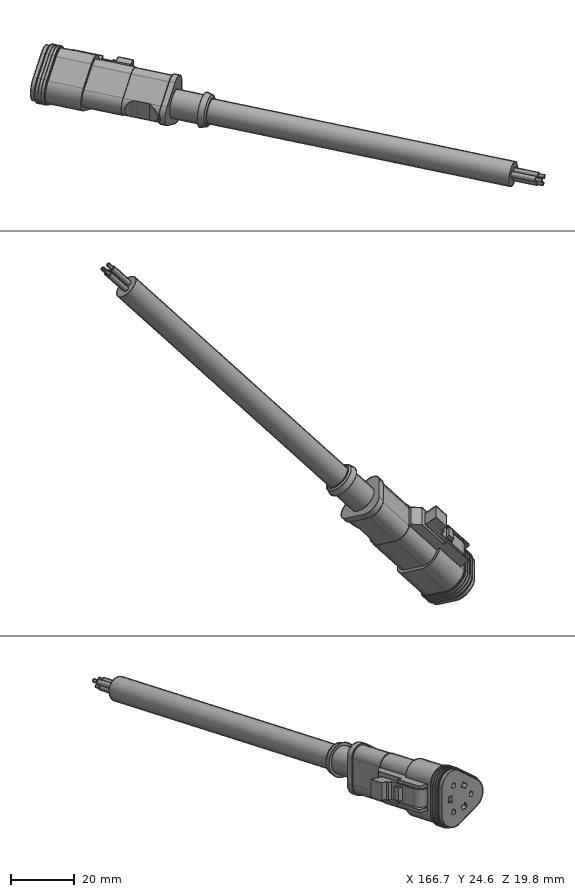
import cadquery as cq
import math


overall_length = 166.7

corner_distance = 5.0
shell_radius = 5.0
shell_end = 16.7
body_radius = 3.8
body_end = 29.7
grip_radius = 3.7
grip_end = 42.3
flange_radius = 4.2
flange_end = 44.3

seal_start = 1.3
seal_end = 5.0
seal_base_height = 0.3
seal_ridge_height = 0.58
seal_ridge_width = 1.0
seal_ridge_inset = 0.3

cavity_depth = 5.0
socket_distance = 5.0
socket_diameter = 1.7
slot_distance = 4.0
slot_thickness = 1.5
slot_width = 2.0

recess_floor = corner_distance + grip_radius / 2
recess_floor_start = 34.3
recess_floor_end = 38.3
recess_arc_radius = 4.2
recess_ramp_length = 8.0
recess_cut_width = 16.7

rail_start = 6.7
rail_width = 8.7
rail_top = 11.0
rail_low_top = 9.5
rail_slope_start = 27.2
rail_slope_foot = 7.0
channel_width = 6.7
tongue_width = 5.8
tongue_top = 10.8
nose_radius = 2.7
tab_start = 20.7
tab_end = 25.7
tab_top = 14.0
tab_step = 1.0
tab_step_top = 12.0
bump_start = 14.5
bump_end = 17.2
bump_slope = 0.7
bump_width = 4.3

neck_radius = 4.7
neck_end = 53.8
collar_radius = 5.7
collar_rim_radius = 5.2
collar_rim = 55.8
collar_end_radius = 4.5
collar_end = 56.3
cable_radius = 4.0
cable_end = 156.7
wire_radius = 0.92
wire_end = 164.7
wire_distance = 1.3
conductor_radius = 0.58


def around_axis(distance, first_angle):
    """Three (y, z) points spaced evenly around the X axis, angles measured from +Y."""
    angles = [math.radians(first_angle + 120 * i) for i in range(3)]
    return [(distance * math.cos(a), distance * math.sin(a)) for a in angles]


def rod(y, z, radius, start, end):
    return cq.Workplane("YZ", origin=(start, 0, 0)).center(y, z).circle(radius).extrude(end - start)


def triangle_section(radius, start, end):
    """Triangular prism along X, a corner towards -Y, rounded to the given radius."""
    corners = around_axis(corner_distance, 60)
    outline = cq.Workplane("YZ", origin=(start, 0, 0)).polyline(corners).close().offset2D(radius)
    return outline.extrude(end - start)


def plate(profile, width):
    """An XY profile extruded symmetrically about Z = 0."""
    return cq.Workplane("XY").polyline(profile).close().extrude(width / 2, both=True)


def make_housing():
    housing = triangle_section(shell_radius, 0, shell_end)
    housing = housing.union(triangle_section(body_radius, shell_end, body_end))
    housing = housing.union(triangle_section(grip_radius, body_end, grip_end))
    return housing.union(triangle_section(flange_radius, grip_end, flange_end))


def make_seal():
    seal = triangle_section(shell_radius + seal_base_height, seal_start, seal_end)
    first_ridge = seal_start + seal_ridge_inset
    last_ridge = seal_end - seal_ridge_inset - seal_ridge_width
    for start in (first_ridge, last_ridge):
        ridge = triangle_section(shell_radius + seal_ridge_height, start, start + seal_ridge_width)
        seal = seal.union(ridge)
    return seal


def make_recess():
    """Hollow with a quarter-round front wall, a flat floor and a sloping rear wall."""
    recess_mouth = recess_floor + recess_arc_radius
    arc_middle = recess_arc_radius * math.sqrt(0.5)
    return (
        cq.Workplane("XY")
        .moveTo(recess_floor_start - recess_arc_radius, -recess_mouth)
        .threePointArc(
            (recess_floor_start - arc_middle, -recess_mouth + arc_middle),
            (recess_floor_start, -recess_floor),
        )
        .lineTo(recess_floor_end, -recess_floor)
        .lineTo(recess_floor_end + recess_ramp_length, -recess_mouth)
        .close()
        .extrude(recess_cut_width / 2, both=True)
    )


def make_cavities():
    face = cq.Workplane("YZ")
    socket_centres = around_axis(socket_distance, 60)
    cavities = face.pushPoints(socket_centres).circle(socket_diameter / 2).extrude(cavity_depth)
    slot = face.center(slot_distance, 0).rect(slot_thickness, slot_width).extrude(cavity_depth)
    for angle in (0, 120, 240):
        cavities = cavities.union(slot.rotate((0, 0, 0), (1, 0, 0), angle))
    return cavities


def make_latch():
    latch_foot = corner_distance / 2
    rails = plate(
        [
            (rail_start, latch_foot),
            (rail_start, rail_top),
            (shell_end, rail_top),
            (shell_end, rail_low_top),
            (rail_slope_start, rail_low_top),
            (body_end, rail_slope_foot),
            (body_end, latch_foot),
        ],
        rail_width,
    )
    channel_floor = latch_foot + shell_radius
    channel = plate(
        [
            (rail_start, channel_floor),
            (rail_start, rail_top),
            (shell_end, rail_top),
            (shell_end, channel_floor),
        ],
        channel_width,
    )
    nose_middle = nose_radius * math.sqrt(0.5)
    tongue = (
        cq.Workplane("XY")
        .moveTo(rail_start, latch_foot)
        .lineTo(rail_start, tongue_top - nose_radius)
        .threePointArc(
            (rail_start + nose_radius - nose_middle, tongue_top - nose_radius + nose_middle),
            (rail_start + nose_radius, tongue_top),
        )
        .lineTo(tab_start - tab_step, tongue_top)
        .lineTo(tab_start - tab_step, tab_step_top)
        .lineTo(tab_start, tab_step_top)
        .lineTo(tab_start, tab_top)
        .lineTo(tab_end, tab_top)
        .lineTo(tab_end, latch_foot)
        .close()
        .extrude(tongue_width / 2, both=True)
    )
    bump = plate(
        [
            (bump_start, latch_foot),
            (bump_start, tongue_top),
            (bump_start + bump_slope, tab_step_top),
            (bump_end, tab_step_top),
            (bump_end, latch_foot),
        ],
        bump_width,
    )
    return rails.cut(channel).union(tongue).union(bump)


def make_strain_relief_and_cable():
    profile = [
        (grip_end, 0),
        (grip_end, neck_radius),
        (neck_end, neck_radius),
        (neck_end, collar_radius),
        (collar_rim, collar_rim_radius),
        (collar_end, collar_end_radius),
        (collar_end, cable_radius),
        (cable_end, cable_radius),
        (cable_end, 0),
    ]
    return cq.Workplane("XZ").polyline(profile).close().revolve(360, (0, 0, 0), (1, 0, 0))


def make_wire(y, z):
    """One insulated wire with its bare conductor showing at the tip."""
    insulation = rod(y, z, wire_radius, cable_end, wire_end)
    return insulation.union(rod(y, z, conductor_radius, wire_end, overall_length))


result = make_housing().cut(make_recess())
result = result.union(make_seal())
result = result.union(make_latch())
result = result.union(make_strain_relief_and_cable())
for wire_y, wire_z in around_axis(wire_distance, 30):
    result = result.union(make_wire(wire_y, wire_z))
result = result.cut(make_cavities())